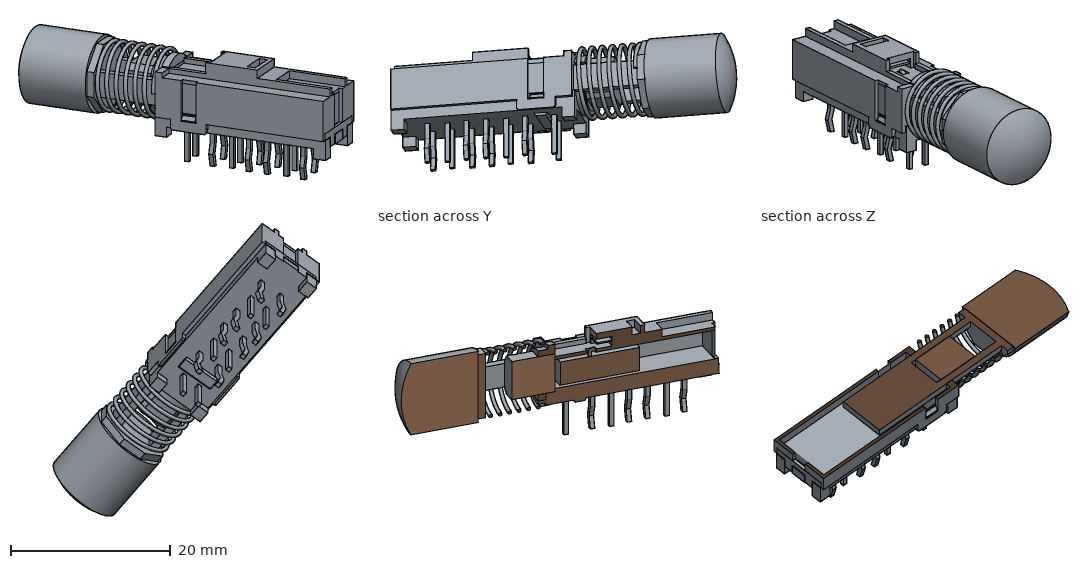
import cadquery as cq
import math


overall_height = 14.4

cap_diameter = 10.0
cap_dome_height = 1.35
cap_end_x = 10.5

neck_end_x = 11.5
neck_half_width = 4.5
neck_half_flat = 1.65
arm_inner_y = 2.3
arm_outer_y = 3.35
arm_bottom_z = -1.9
arm_top_z = 1.4
slider_start_x = 21.65
slider_end_x = 32.45

wire_diameter = 0.5
spring_outer_diameter = 9.3
spring_pitch = 1.3
spring_turns = 6
seat_half_turn_rise = 0.15
points_per_turn = 16

holder_start_x = 15.05
holder_half_height = 2.7
holder_side_top_z = 1.8
holder_side_bottom_z = -2.1
holder_top_half_width = 1.75

cover_start_x = 19.95
cover_end_x = 43.2
cover_half_width = 4.55
cover_bottom_z = -3.05
ledge_z = 2.3
flange_end_x = 20.95
shoulder_z = 2.95
arch_diameter = 8.0
ridge_half_width = 2.55
raised_start_x = 26.0
raised_end_x = 33.15
raised_z = 4.4
rear_ridge_z = 3.35
wall = 0.5
collar_start_x = 18.6
collar_diameter = 7.0

pocket_half_width = 1.9
front_pocket_end_x = 26.55
notch_half_width = 2.05
rear_pocket_start_x = 35.55
top_slot_start_x = 31.45
top_slot_end_x = 32.5
top_slot_half_width = 1.77
top_slot_depth = 1.1
window_half_width = 1.6
window_top_z = 3.55
window_depth = 2.15
latch_hole_start_x = 25.3
latch_hole_half_width = 0.48
rear_notch_x = 42.75
rear_notch_half_width = 1.13

side_window_start_x = 23.55
side_window_end_x = 25.63
side_window_bottom_z = -3.07
side_window_depth = 0.45
tab_start_x = 22.08
tab_end_x = 27.0
tab_bottom_z = -4.4
tab_lead_in_depth = 0.2
tab_lead_in_height = 0.65
tab_corner = 0.2

base_start_x = 19.7
base_end_x = 43.3
base_half_width = 4.03
base_top_z = -2.15
base_bottom_z = -4.35
leg_bottom_z = -5.65
leg_inner_y = 2.5
front_leg_end_x = 21.3
rear_leg_start_x = 41.6
cradle_half_width = 3.65
catch_end_x = 25.4
catch_top_z = -2.3
catch_tip_z = -2.95
catch_tip_y = 4.45
bump_start_x = 23.5
bump_end_x = 25.25
bump_height = 0.35
bump_slope = 0.2

terminal_pitch = 2.5
terminal_width = 0.6
terminal_tip_z = cap_diameter / 2 - overall_height
front_terminal_x = 22.9
second_terminal_x = 26.6
row_is_kinked = [True, False, True, True, False, True]
straight_inner_y = 0.95
straight_outer_y = 1.47
kinked_inner_y = 1.2
kinked_outer_y = 1.8
kink_offset = 0.4
kink_start_z = -6.3
kink_peak_z = -7.75

latch_x = 25.7
latch_bend_radius = 0.35
latch_axis_z = 2.3
latch_end_x = 26.4

leaf_start_x = 26.65
leaf_bottom_z = 2.85
leaf_thickness = 0.25


def box(x0, x1, y0, y1, z0, z1):
    """Box between opposite corners."""
    return cq.Workplane("XY").box(x1 - x0, y1 - y0, z1 - z0, centered=False).translate((x0, y0, z0))


def centred_box(x0, x1, half_width, z0, z1):
    """Box that is symmetric about the XZ plane."""
    return box(x0, x1, -half_width, half_width, z0, z1)


def cylinder_x(x0, x1, diameter):
    """Cylinder around the X axis."""
    return cq.Workplane("YZ", origin=(x0, 0, 0)).circle(diameter / 2).extrude(x1 - x0)


def both_sides(shape):
    """The shape together with its mirror image across the XZ plane."""
    return shape.union(shape.mirror("XZ"))


def cut_corner_bar(x0, x1, half_width, half_height, flat_y, side_bottom_z, side_top_z):
    """Bar along X with a rectangular section whose four corners are cut off."""
    section = [
        (half_width, side_bottom_z),
        (half_width, side_top_z),
        (flat_y, half_height),
        (-flat_y, half_height),
        (-half_width, side_top_z),
        (-half_width, side_bottom_z),
        (-flat_y, -half_height),
        (flat_y, -half_height),
    ]
    return cq.Workplane("YZ", origin=(x0, 0, 0)).polyline(section).close().extrude(x1 - x0)


def make_cap():
    radius = cap_diameter / 2
    sphere_radius = (radius**2 + cap_dome_height**2) / (2 * cap_dome_height)
    half_angle = math.asin(radius / sphere_radius) / 2
    arc_middle = (sphere_radius * (1 - math.cos(half_angle)), sphere_radius * math.sin(half_angle))
    return (
        cq.Workplane("XY")
        .moveTo(0, 0)
        .threePointArc(arc_middle, (cap_dome_height, radius))
        .lineTo(cap_end_x, radius)
        .lineTo(cap_end_x, 0)
        .close()
        .revolve(360, (0, 0, 0), (1, 0, 0))
    )


def make_plunger():
    neck = cut_corner_bar(
        cap_end_x, neck_end_x, neck_half_width, neck_half_width,
        neck_half_flat, -neck_half_flat, neck_half_flat,
    )
    arm = box(neck_end_x, slider_end_x, arm_inner_y, arm_outer_y, arm_bottom_z, arm_top_z)
    slider = centred_box(slider_start_x, slider_end_x, arm_outer_y, arm_bottom_z, arm_top_z)
    return neck.union(both_sides(arm)).union(slider)


def make_spring():
    coil_radius = (spring_outer_diameter - wire_diameter) / 2
    start_x = neck_end_x + wire_diameter / 2

    def coil_point(turn):
        if turn < 0.5:
            advance = seat_half_turn_rise * turn / 0.5
        else:
            advance = seat_half_turn_rise + spring_pitch * (turn - 0.5)
        angle = 2 * math.pi * turn
        return (start_x + advance, coil_radius * math.cos(angle), coil_radius * math.sin(angle))

    steps = round((spring_turns + 0.5) * points_per_turn)
    path = cq.Workplane("XY").spline([coil_point(i / points_per_turn) for i in range(steps + 1)])
    return (
        cq.Workplane("XY", origin=(start_x, coil_radius, 0))
        .circle(wire_diameter / 2)
        .sweep(path, isFrenet=True)
    )


def make_lamp_holder():
    return cut_corner_bar(
        holder_start_x, flange_end_x, arm_inner_y, holder_half_height,
        holder_top_half_width, holder_side_bottom_z, holder_side_top_z,
    )


def make_kinked_terminal(x):
    profile = [
        (kinked_inner_y, base_bottom_z),
        (kinked_outer_y, base_bottom_z),
        (kinked_outer_y, kink_start_z),
        (kinked_outer_y + kink_offset, kink_peak_z),
        (kinked_outer_y, terminal_tip_z),
        (kinked_inner_y, terminal_tip_z),
        (kinked_inner_y + kink_offset, kink_peak_z),
        (kinked_inner_y, kink_start_z),
    ]
    start_x = x - terminal_width / 2
    return cq.Workplane("YZ", origin=(start_x, 0, 0)).polyline(profile).close().extrude(terminal_width)


def make_straight_terminal(x):
    half = terminal_width / 2
    return box(x - half, x + half, straight_inner_y, straight_outer_y, terminal_tip_z, base_bottom_z)


def make_cradle():
    """Curved lip under the collar, at the front of the base."""
    lip = cylinder_x(collar_start_x, base_start_x, arch_diameter)
    lip = lip.intersect(
        centred_box(collar_start_x, base_start_x, cradle_half_width, -arch_diameter, base_top_z)
    )
    return lip.cut(cylinder_x(collar_start_x, base_start_x, collar_diameter))


def make_catch():
    """Wedge on the side of the base that snaps into a side window of the cover."""
    profile = [
        (base_half_width, catch_top_z),
        (catch_tip_y, catch_tip_z),
        (catch_tip_y, side_window_bottom_z),
        (base_half_width, side_window_bottom_z),
    ]
    return (
        cq.Workplane("YZ", origin=(side_window_start_x, 0, 0))
        .polyline(profile).close().extrude(catch_end_x - side_window_start_x)
    )


def make_base(holder):
    base = centred_box(base_start_x, cover_end_x, base_half_width, base_bottom_z, base_top_z)
    base = base.union(make_cradle()).cut(holder)

    front_leg = box(
        base_start_x, front_leg_end_x, leg_inner_y, base_half_width, leg_bottom_z, base_top_z
    )
    rear_leg = box(rear_leg_start_x, base_end_x, leg_inner_y, base_half_width, leg_bottom_z, cover_bottom_z)
    base = base.union(both_sides(front_leg)).union(both_sides(rear_leg))

    base = base.union(both_sides(make_catch()))

    rear_tongue = centred_box(
        cover_end_x, base_end_x, rear_notch_half_width, base_bottom_z, cover_bottom_z
    )
    bump_profile = [
        (bump_start_x, base_bottom_z),
        (bump_end_x, base_bottom_z),
        (bump_end_x - bump_slope, base_bottom_z - bump_height),
        (bump_start_x + bump_slope, base_bottom_z - bump_height),
    ]
    bump = cq.Workplane("XZ").polyline(bump_profile).close().extrude(leg_inner_y, both=True)
    base = base.union(rear_tongue).union(bump)

    terminals = [make_straight_terminal(front_terminal_x)]
    for i, is_kinked in enumerate(row_is_kinked):
        make_terminal = make_kinked_terminal if is_kinked else make_straight_terminal
        terminals.append(make_terminal(second_terminal_x + i * terminal_pitch))
    for terminal in terminals:
        base = base.union(both_sides(terminal))
    return base


def make_snap_tab():
    inner_y = base_half_width
    profile = [
        (inner_y, cover_bottom_z),
        (cover_half_width, cover_bottom_z),
        (cover_half_width, tab_bottom_z),
        (inner_y + tab_lead_in_depth, tab_bottom_z),
        (inner_y, tab_bottom_z + tab_lead_in_height),
    ]
    tab = (
        cq.Workplane("YZ", origin=(tab_start_x, 0, 0))
        .polyline(profile).close().extrude(tab_end_x - tab_start_x)
    )
    return both_sides(tab.faces("<Z").edges("|Y").chamfer(tab_corner))


def make_cover_outside():
    body = centred_box(cover_start_x, cover_end_x, cover_half_width, cover_bottom_z, ledge_z)
    shoulder = centred_box(cover_start_x, flange_end_x, cover_half_width, ledge_z, shoulder_z)
    arch = cylinder_x(cover_start_x, flange_end_x, arch_diameter).intersect(
        centred_box(cover_start_x, flange_end_x, ridge_half_width, 0, arch_diameter)
    )
    front_ridge = centred_box(flange_end_x, raised_start_x, ridge_half_width, ledge_z, shoulder_z)
    raised = centred_box(raised_start_x, raised_end_x, ridge_half_width, ledge_z, raised_z)
    rear_ridge = centred_box(raised_end_x, cover_end_x, ridge_half_width, ledge_z, rear_ridge_z)
    collar = cylinder_x(collar_start_x, cover_start_x, collar_diameter).cut(
        centred_box(
            collar_start_x, cover_start_x, collar_diameter, holder_side_bottom_z, holder_side_top_z
        )
    )
    outside = body
    for piece in (shoulder, arch, front_ridge, raised, rear_ridge, collar, make_snap_tab()):
        outside = outside.union(piece)
    return outside


def make_cover(base_room, holder):
    cover = make_cover_outside()
    cavity_end_x = cover_end_x - wall
    pocket_floor_z = ledge_z
    ceiling_z = ledge_z - wall
    cuts = [
        centred_box(flange_end_x, cavity_end_x, base_half_width, base_top_z, ceiling_z),
        base_room,
        both_sides(box(
            cover_start_x, flange_end_x, arm_inner_y, arm_outer_y, arm_bottom_z, arm_top_z
        )),
        holder,
        centred_box(flange_end_x, raised_start_x, pocket_half_width, pocket_floor_z, raised_z),
        centred_box(raised_start_x, front_pocket_end_x, notch_half_width, pocket_floor_z, raised_z),
        centred_box(rear_pocket_start_x, cover_end_x, pocket_half_width, pocket_floor_z, raised_z),
        centred_box(
            top_slot_start_x, top_slot_end_x, top_slot_half_width, raised_z - top_slot_depth, raised_z
        ),
        centred_box(
            front_pocket_end_x, front_pocket_end_x + window_depth, window_half_width,
            pocket_floor_z, window_top_z,
        ),
        centred_box(
            latch_hole_start_x, front_pocket_end_x, latch_hole_half_width, ceiling_z, pocket_floor_z
        ),
        centred_box(rear_notch_x, cover_end_x, rear_notch_half_width, base_top_z, pocket_floor_z),
        both_sides(box(
            side_window_start_x, side_window_end_x,
            cover_half_width - side_window_depth, cover_half_width,
            side_window_bottom_z, ledge_z,
        )),
        both_sides(make_catch()),
    ]
    for cut in cuts:
        cover = cover.cut(cut)
    return cover


def make_latch_wire():
    """Bent wire: a foot standing on the slider and a short arm toward the cover window."""
    bend = latch_bend_radius
    slant = bend * (1 - math.sqrt(0.5))
    path = (
        cq.Workplane("XZ")
        .moveTo(latch_x, arm_top_z)
        .lineTo(latch_x, latch_axis_z - bend)
        .threePointArc((latch_x + slant, latch_axis_z - slant), (latch_x + bend, latch_axis_z))
        .lineTo(latch_end_x, latch_axis_z)
    )
    return cq.Workplane("XY", origin=(latch_x, 0, arm_top_z)).circle(wire_diameter / 2).sweep(path)


def make_leaf_spring():
    """Flat strip that fills the width of the window and ends at its back wall."""
    return centred_box(
        leaf_start_x, front_pocket_end_x + window_depth, window_half_width,
        leaf_bottom_z, leaf_bottom_z + leaf_thickness,
    )


cap = make_cap()
plunger = make_plunger()
spring = make_spring()
lamp_holder = make_lamp_holder()
base = make_base(lamp_holder)
base_room = centred_box(base_start_x, cover_end_x, base_half_width, base_bottom_z, base_top_z)
cover = make_cover(base_room, lamp_holder)
latch_wire = make_latch_wire()
leaf_spring = make_leaf_spring()

bodies = [cap, plunger, spring, lamp_holder, base, cover, latch_wire, leaf_spring]
result = cq.Compound.makeCompound([body.solids().val() for body in bodies])